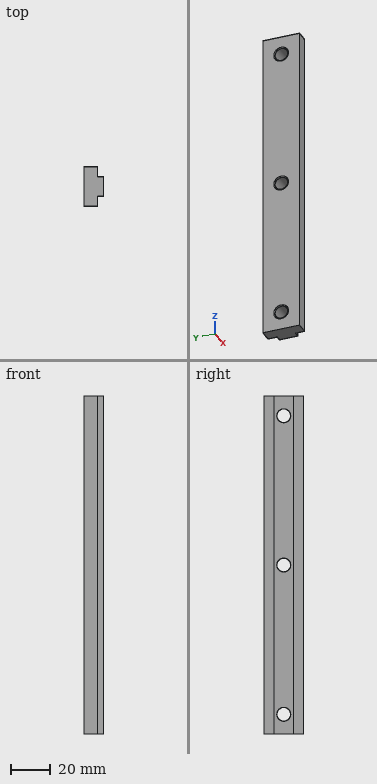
import cadquery as cq
import math

length = 170.0
bar_width = 20.0
tongue_width = 10.0
total_thickness = 9.8
tongue_height = 3.0

hole_diameter = 6.8
countersink_diameter = 8.0
countersink_angle = 120.0
hole_spacing = 75.0
hole_positions = (-hole_spacing, 0.0, hole_spacing)

flange_thickness = total_thickness - tongue_height
flange_back = -total_thickness / 2
tongue_base = flange_back + flange_thickness
countersink_step = (countersink_diameter - hole_diameter) / 2
countersink_depth = countersink_step / math.tan(math.radians(countersink_angle / 2))


def slab(x_start, thickness, width):
    """Full-length rectangular bar starting at x_start, centred on Y and Z."""
    bar = cq.Workplane("XY").box(thickness, width, length, centered=(False, True, True))
    return bar.translate((x_start, 0, 0))


def t_bar():
    """Wide flange on the -X side with a narrower tongue on the +X side."""
    flange = slab(flange_back, flange_thickness, bar_width)
    tongue = slab(tongue_base, tongue_height, tongue_width)
    return flange.union(tongue)


def hole_cutter(z):
    """Through hole along X at height z, countersunk on the -X face."""
    mouth = cq.Vector(flange_back, 0, z)
    along_x = cq.Vector(1, 0, 0)
    bore = cq.Solid.makeCylinder(hole_diameter / 2, total_thickness, mouth, along_x)
    countersink = cq.Solid.makeCone(
        countersink_diameter / 2, hole_diameter / 2, countersink_depth, mouth, along_x
    )
    return cq.Workplane(obj=bore).union(cq.Workplane(obj=countersink))


result = t_bar()
for hole_z in hole_positions:
    result = result.cut(hole_cutter(hole_z))